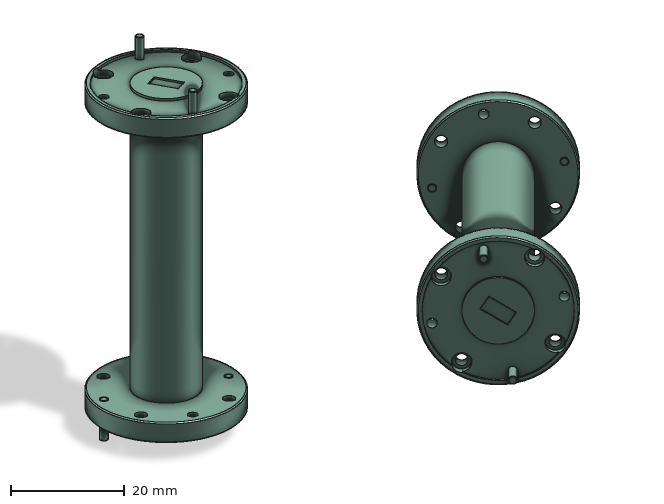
import cadquery as cq
import math

TOTAL_LENGTH = 71.25
FLANGE_DIAMETER = 28.6
FLANGE_THICKNESS = 4.0
FLANGE_CHAMFER = 0.25
TUBE_DIAMETER = 12.75
PIN_PROTRUSION = 3.9
PIN_DIAMETER = 1.6
PIN_CHAMFER = 0.15
PIN_HOLE_DIAMETER = 1.85
BOLT_CIRCLE_DIAMETER = 23.8
SCREW_HOLE_DIAMETER = 2.3
COUNTERBORE_DIAMETER = 3.55
COUNTERBORE_DEPTH = 1.6
RIM_INNER_DIAMETER = 26.7
GROOVE_DEPTH = 0.5
PORT_WIDTH = 5.7
PORT_HEIGHT = 2.85
PORT_DEPTH = 0.35

FACE_Z = TOTAL_LENGTH / 2 - PIN_PROTRUSION
FLANGE_INNER_Z = FACE_Z - FLANGE_THICKNESS
TUBE_LENGTH = 2 * FLANGE_INNER_Z
PIN_LENGTH = FLANGE_THICKNESS + PIN_PROTRUSION
BOLT_CIRCLE_RADIUS = BOLT_CIRCLE_DIAMETER / 2

SCREW_ANGLES = (0, 90, 180, 270)
TOP_PIN_ANGLES = (135, 315)
BOTTOM_PIN_ANGLES = (45, 225)


def bolt_circle_points(angles):
    return [
        (BOLT_CIRCLE_RADIUS * math.cos(math.radians(a)), BOLT_CIRCLE_RADIUS * math.sin(math.radians(a)))
        for a in angles
    ]


def make_flange(pin_angles, hole_angles):
    """Flange with its mating face up at FACE_Z."""
    flange = (
        cq.Workplane("XY", origin=(0, 0, FLANGE_INNER_Z))
        .circle(FLANGE_DIAMETER / 2)
        .extrude(FLANGE_THICKNESS)
        .edges()
        .chamfer(FLANGE_CHAMFER)
    )
    face = cq.Workplane("XY", origin=(0, 0, FACE_Z))

    groove = face.circle(RIM_INNER_DIAMETER / 2).circle(TUBE_DIAMETER / 2).extrude(-GROOVE_DEPTH)

    port = face.rect(PORT_WIDTH, PORT_HEIGHT).extrude(-PORT_DEPTH)

    screw_points = bolt_circle_points(SCREW_ANGLES)
    screw_holes = face.pushPoints(screw_points).circle(SCREW_HOLE_DIAMETER / 2).extrude(-FLANGE_THICKNESS)
    counterbores = face.pushPoints(screw_points).circle(COUNTERBORE_DIAMETER / 2).extrude(-COUNTERBORE_DEPTH)

    pin_seats = (
        face.pushPoints(bolt_circle_points(pin_angles)).circle(PIN_DIAMETER / 2).extrude(-FLANGE_THICKNESS)
    )
    open_holes = (
        face.pushPoints(bolt_circle_points(hole_angles))
        .circle(PIN_HOLE_DIAMETER / 2)
        .extrude(-FLANGE_THICKNESS)
    )

    for cutter in (groove, port, screw_holes, counterbores, pin_seats, open_holes):
        flange = flange.cut(cutter)
    return flange


def make_housing():
    """Tube with a flange at each end; the lower flange faces down."""
    tube = cq.Workplane("XY").circle(TUBE_DIAMETER / 2).extrude(TUBE_LENGTH / 2, both=True)
    top_flange = make_flange(TOP_PIN_ANGLES, BOTTOM_PIN_ANGLES)
    bottom_flange = make_flange(BOTTOM_PIN_ANGLES, TOP_PIN_ANGLES).mirror("XY")
    return tube.union(top_flange).union(bottom_flange)


def make_pin(point, side):
    """Dowel pin from a flange's inner side to beyond its face; side is +1 for top, -1 for bottom."""
    pin = (
        cq.Workplane("XY", origin=(*point, FLANGE_INNER_Z))
        .circle(PIN_DIAMETER / 2)
        .extrude(PIN_LENGTH)
        .faces("|Z")
        .chamfer(PIN_CHAMFER)
    )
    return pin if side > 0 else pin.mirror("XY")


housing = make_housing()

pins = []
for side, angles in ((1, TOP_PIN_ANGLES), (-1, BOTTOM_PIN_ANGLES)):
    for point in bolt_circle_points(angles):
        pins.append(make_pin(point, side).val())

result = cq.Compound.makeCompound([housing.val(), *pins])